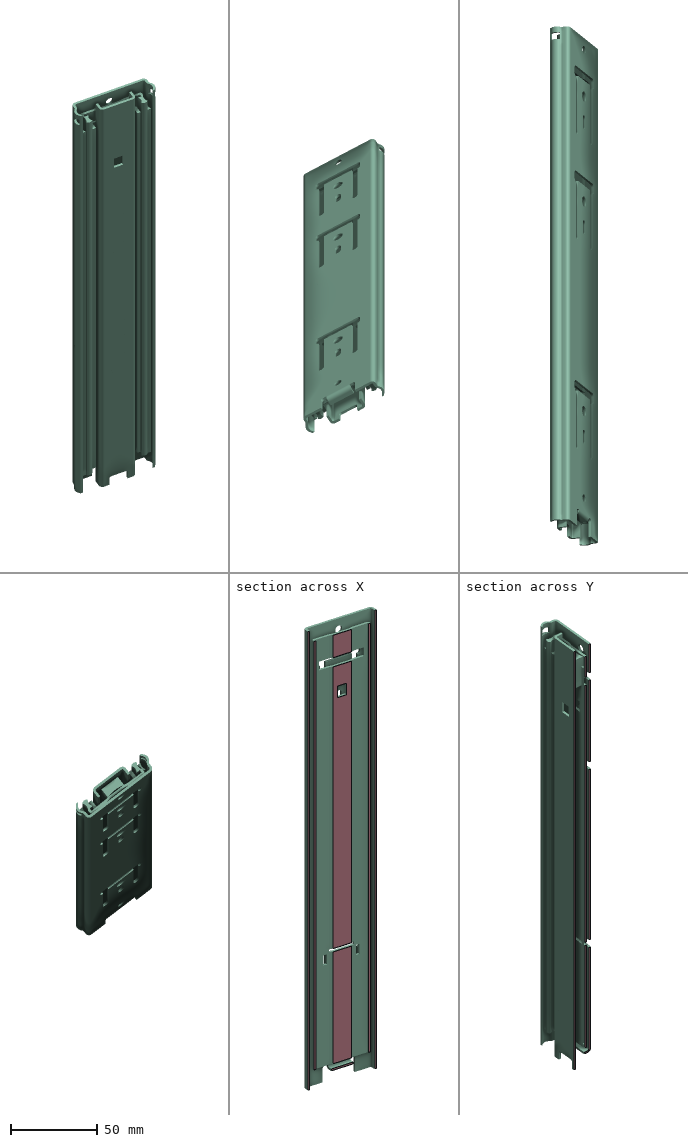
import cadquery as cq

LENGTH = 300.0
SHEET = 1.5
RACE_X = 8.0
LIP_X = 11.7

OUTER_FLANGE_Y = 24.15
OUTER_PEAK_Y = 25.95
OUTER_CORNER_R = 2.5
SHOULDER_START_X = 4.5
SHOULDER_END_X = 5.5
SHOULDER_RISE = 0.5
OUTER_RACE_END_X = 10.8

HOOK_TOP_Z = 279.3
HOOK_DROPS = (0.0, 64.0, 191.5)
HOOK_BAR_HALF_WIDTH = 15.0
HOOK_BAR_HEIGHT = 6.5
HOOK_TONGUE_HEIGHT = 5.0
HOOK_LEG_Y = 11.25
HOOK_LEG_WIDTH = 4.0
HOOK_LEG_DROP = 41.0
HOOK_HOLE_DROP = 15.0
HOOK_HOLE_D = 6.3
HOOK_SLOT_DROP = 30.5
HOOK_SLOT_LENGTH = 8.5
HOOK_SLOT_WIDTH = 4.0

WEB_HOLE_ZS = (19.8, 292.8)
WEB_HOLE_D = 4.8
NOTCH_Z = 294.5
NOTCH_HEIGHT = 4.2
NOTCH_X = (5.5, 11.0)

GAP_HALF_WIDTH = 11.5
GAP_HEIGHT = 10.5
GAP_CORNER_R = 1.5
TAB_HALF_WIDTH = 7.8
TAB_REACH_X = 5.0
TAB_BEND_R = 2.7

MIDDLE_BOTTOM_Z = 12.0
MIDDLE_TOP_Z = 292.5
MIDDLE_WEB_X = 2.7
MIDDLE_JOG = 0.5
JOG_FLAT_Y = 6.0
JOG_END_Y = 8.7
MIDDLE_FLANGE_Y = 19.95
MIDDLE_FOLD_Y = 16.05
FOLD_START_X = 6.0
MIDDLE_RACE_DEPTH = 1.0
MIDDLE_CORNER_R = 1.2
RACE_HALF_WIDTH = 2.7
SLIT_HALF_WIDTH = 16.0
SLIT_Z = (271.8, 277.5)
RELIEF_HALF_WIDTH = 8.7
RELIEF_Z = (85.5, 87.3)
SIDE_RELIEF_Y = (10.2, 12.5)
SIDE_RELIEF_Z = (78.0, 84.5)

WINDOW_HALF_WIDTH = 3.0
WINDOW_Z = (250.8, 258.0)

INNER_BACK_X = 13.0
INNER_HALF_WIDTH = 11.7
INNER_FLANGE_START_X = 6.5
INNER_CORNER_R = 2.5
MOUTH_HALF_WIDTH = 6.0
MOUTH_HEIGHT = 6.3
MOUTH_CORNER_R = 1.5

OUTER_CAGE_X = (5.7, 10.5)
OUTER_CAGE_Y = 21.3
OUTER_CAGE_RIM = 2.5
OUTER_CAGE_WAIST = 1.0
OUTER_CAGE_Z = (12.0, 285.0)
INNER_CAGE_X = (4.8, 10.5)
INNER_CAGE_Y = (6.0, 15.5)
INNER_CAGE_FLANGE = 2.0
INNER_CAGE_WEB = 1.05
INNER_CAGE_Z = (15.0, 285.0)

STOP_X = (4.8, 10.8)
STOP_HALF_WIDTH = 6.0
STOP_HOLLOW = 1.0
STOP_Z = (271.8, 292.0)


def block(x, y, z):
    """Box between the low and high limits given for each axis."""
    size = (x[1] - x[0], y[1] - y[0], z[1] - z[0])
    return cq.Workplane("XY").box(*size, centered=False).translate((x[0], y[0], z[0]))


def both_sides(half):
    """Join a half section to its mirror image across Y = 0."""
    return half.union(half.mirror("XZ")).clean()


def across_x(z, y=0.0):
    """Sketch plane at X = 0 whose local axes are Y and Z."""
    return cq.Workplane("YZ", origin=(0, y, z))


def web_window(half_width, z):
    """Central cutter that reaches through the webs of all the rails."""
    return block((0, INNER_BACK_X), (-half_width, half_width), z)


def hook_cut(top_z):
    """Opening around one lanced mounting hook, with its hole and slot."""
    bar_z = top_z - HOOK_BAR_HEIGHT / 2
    bar = across_x(bar_z).rect(2 * HOOK_BAR_HALF_WIDTH, HOOK_BAR_HEIGHT).extrude(SHEET)
    bar = bar.edges("|X").fillet(HOOK_BAR_HEIGHT / 4)
    tongue_half = HOOK_LEG_Y - HOOK_LEG_WIDTH / 2
    tongue_tip = block(
        (0, SHEET),
        (-tongue_half, tongue_half),
        (top_z - HOOK_BAR_HEIGHT, top_z - HOOK_TONGUE_HEIGHT),
    )
    cut = bar.cut(tongue_tip)

    leg_length = HOOK_LEG_DROP - HOOK_BAR_HEIGHT / 2
    for leg_y in (-HOOK_LEG_Y, HOOK_LEG_Y):
        leg = across_x(bar_z - leg_length / 2, leg_y)
        cut = cut.union(leg.slot2D(leg_length, HOOK_LEG_WIDTH, 90).extrude(SHEET))

    hole = across_x(top_z - HOOK_HOLE_DROP).circle(HOOK_HOLE_D / 2).extrude(SHEET)
    slot = across_x(top_z - HOOK_SLOT_DROP).slot2D(HOOK_SLOT_LENGTH, HOOK_SLOT_WIDTH, 90)
    return cut.union(hole).union(slot.extrude(SHEET))


def bottom_gap():
    """Opening at the lower end of the outer web, rounded at its upper corners."""
    gap = block((0, SHEET), (-GAP_HALF_WIDTH, GAP_HALF_WIDTH), (0, GAP_HEIGHT))
    return gap.edges("|X and >Z").fillet(GAP_CORNER_R)


def bent_tab():
    """Tab that hangs from the top of the gap and bends towards the inner rail."""
    underside_z = GAP_HEIGHT - TAB_BEND_R
    return (
        cq.Workplane("XZ")
        .moveTo(0, GAP_HEIGHT)
        .radiusArc((TAB_BEND_R, underside_z), -TAB_BEND_R)
        .lineTo(TAB_REACH_X, underside_z)
        .lineTo(TAB_REACH_X, underside_z + SHEET)
        .lineTo(TAB_BEND_R, underside_z + SHEET)
        .radiusArc((SHEET, GAP_HEIGHT), TAB_BEND_R - SHEET)
        .close()
        .extrude(TAB_HALF_WIDTH, both=True)
    )


def mouth_cut():
    """Open mouth at the lower end of the inner rail, rounded at its upper corners."""
    mouth = web_window(MOUTH_HALF_WIDTH, (0, MOUTH_HEIGHT))
    return mouth.edges("|X and >Z").fillet(MOUTH_CORNER_R)


def make_outer_rail():
    inside_flange = OUTER_FLANGE_Y - SHEET
    shoulder_y = OUTER_FLANGE_Y + SHOULDER_RISE
    inside_peak = OUTER_PEAK_Y - SHEET
    inside_shoulder = shoulder_y - SHEET
    half = (
        cq.Workplane("XY")
        .moveTo(0, 0)
        .lineTo(0, OUTER_FLANGE_Y - OUTER_CORNER_R)
        .radiusArc((OUTER_CORNER_R, OUTER_FLANGE_Y), OUTER_CORNER_R)
        .lineTo(SHOULDER_START_X, OUTER_FLANGE_Y)
        .lineTo(SHOULDER_END_X, shoulder_y)
        .threePointArc((RACE_X, OUTER_PEAK_Y), (OUTER_RACE_END_X, shoulder_y))
        .lineTo(LIP_X, OUTER_FLANGE_Y)
        .lineTo(LIP_X, inside_flange)
        .lineTo(OUTER_RACE_END_X, inside_shoulder)
        .threePointArc((RACE_X, inside_peak), (SHOULDER_END_X, inside_shoulder))
        .lineTo(SHOULDER_START_X, inside_flange)
        .lineTo(OUTER_CORNER_R, inside_flange)
        .radiusArc((SHEET, OUTER_FLANGE_Y - OUTER_CORNER_R), -(OUTER_CORNER_R - SHEET))
        .lineTo(SHEET, 0)
        .close()
        .extrude(LENGTH)
    )
    rail = both_sides(half)

    for drop in HOOK_DROPS:
        rail = rail.cut(hook_cut(HOOK_TOP_Z - drop))
    for hole_z in WEB_HOLE_ZS:
        rail = rail.cut(across_x(hole_z).circle(WEB_HOLE_D / 2).extrude(SHEET))

    notch_z = (NOTCH_Z - NOTCH_HEIGHT / 2, NOTCH_Z + NOTCH_HEIGHT / 2)
    rail = rail.cut(block(NOTCH_X, (-OUTER_PEAK_Y, OUTER_PEAK_Y), notch_z))

    return rail.cut(bottom_gap()).union(bent_tab())


def make_middle_rail():
    web_back = MIDDLE_WEB_X + SHEET
    jog_x = MIDDLE_WEB_X + MIDDLE_JOG
    race_start, race_end = RACE_X - RACE_HALF_WIDTH, RACE_X + RACE_HALF_WIDTH
    fold_middle_y = (MIDDLE_FLANGE_Y + MIDDLE_FOLD_Y) / 2
    half = (
        cq.Workplane("XY")
        .moveTo(jog_x, 0)
        .lineTo(jog_x, JOG_FLAT_Y)
        .lineTo(MIDDLE_WEB_X, JOG_END_Y)
        .lineTo(MIDDLE_WEB_X, MIDDLE_FLANGE_Y - MIDDLE_CORNER_R)
        .radiusArc((MIDDLE_WEB_X + MIDDLE_CORNER_R, MIDDLE_FLANGE_Y), MIDDLE_CORNER_R)
        .lineTo(race_start, MIDDLE_FLANGE_Y)
        .threePointArc((RACE_X, MIDDLE_FLANGE_Y - MIDDLE_RACE_DEPTH), (race_end, MIDDLE_FLANGE_Y))
        .threePointArc((LIP_X, fold_middle_y), (race_end, MIDDLE_FOLD_Y))
        .threePointArc((RACE_X, MIDDLE_FOLD_Y + MIDDLE_RACE_DEPTH), (FOLD_START_X, MIDDLE_FOLD_Y))
        .lineTo(FOLD_START_X, MIDDLE_FLANGE_Y - SHEET)
        .lineTo(web_back, MIDDLE_FLANGE_Y - SHEET)
        .lineTo(web_back, JOG_END_Y)
        .lineTo(jog_x + SHEET, JOG_FLAT_Y)
        .lineTo(jog_x + SHEET, 0)
        .close()
        .extrude(MIDDLE_TOP_Z - MIDDLE_BOTTOM_Z)
        .translate((0, 0, MIDDLE_BOTTOM_Z))
    )
    rail = both_sides(half)
    web_depth = (0, web_back + MIDDLE_JOG)
    slit = block(web_depth, (-SLIT_HALF_WIDTH, SLIT_HALF_WIDTH), SLIT_Z)
    rail = rail.cut(slit).cut(web_window(WINDOW_HALF_WIDTH, WINDOW_Z))

    rail = rail.cut(block(web_depth, (-RELIEF_HALF_WIDTH, RELIEF_HALF_WIDTH), RELIEF_Z))
    side_relief = block(web_depth, SIDE_RELIEF_Y, SIDE_RELIEF_Z)
    return rail.cut(side_relief).cut(side_relief.mirror("XZ"))


def make_inner_rail():
    half_in = INNER_HALF_WIDTH - SHEET
    web_front = INNER_BACK_X - SHEET
    rail = block(
        (INNER_FLANGE_START_X, INNER_BACK_X),
        (-INNER_HALF_WIDTH, INNER_HALF_WIDTH),
        (0, LENGTH),
    )
    rail = rail.edges("|Z and >X").fillet(INNER_CORNER_R)
    hollow = block((0, web_front), (-half_in, half_in), (0, LENGTH))
    hollow = hollow.edges("|Z and >X").fillet(INNER_CORNER_R - SHEET)
    rail = rail.cut(hollow)
    return rail.cut(web_window(WINDOW_HALF_WIDTH, WINDOW_Z)).cut(mouth_cut())


def make_outer_cage():
    """Ball retainer strip, grooved on both faces, between the outer and middle rails at +Y."""
    start_x, end_x = OUTER_CAGE_X
    rim, waist = OUTER_CAGE_RIM / 2, OUTER_CAGE_WAIST / 2
    return (
        cq.Workplane("XY", origin=(0, OUTER_CAGE_Y, OUTER_CAGE_Z[0]))
        .moveTo(start_x, -rim)
        .threePointArc((RACE_X, -waist), (end_x, -rim))
        .lineTo(end_x, rim)
        .threePointArc((RACE_X, waist), (start_x, rim))
        .close()
        .extrude(OUTER_CAGE_Z[1] - OUTER_CAGE_Z[0])
    )


def make_inner_cage():
    """Angled ball retainer between the middle and inner rails, on the +Y side."""
    cage = block(INNER_CAGE_X, INNER_CAGE_Y, INNER_CAGE_Z)
    inside_x = INNER_CAGE_X[0] + INNER_CAGE_WEB
    inside_y = INNER_CAGE_Y[1] - INNER_CAGE_FLANGE
    return cage.cut(block((inside_x, INNER_CAGE_X[1]), (INNER_CAGE_Y[0], inside_y), INNER_CAGE_Z))


def make_stop_block():
    """Block with a hollow face towards the middle rail."""
    hollow_x = STOP_X[0] + STOP_HOLLOW
    return (
        cq.Workplane("XY", origin=(0, 0, STOP_Z[0]))
        .moveTo(STOP_X[1], -STOP_HALF_WIDTH)
        .lineTo(STOP_X[0], -STOP_HALF_WIDTH)
        .threePointArc((hollow_x, 0), (STOP_X[0], STOP_HALF_WIDTH))
        .lineTo(STOP_X[1], STOP_HALF_WIDTH)
        .close()
        .extrude(STOP_Z[1] - STOP_Z[0])
    )


outer_rail = make_outer_rail()
middle_rail = make_middle_rail()
inner_rail = make_inner_rail()
stop_block = make_stop_block()

cages = []
for cage in (make_outer_cage(), make_inner_cage()):
    cages.append(cage.val())
    cages.append(cage.mirror("XZ").val())

result = cq.Compound.makeCompound(
    [outer_rail.val(), middle_rail.val(), inner_rail.val(), *cages, stop_block.val()]
)